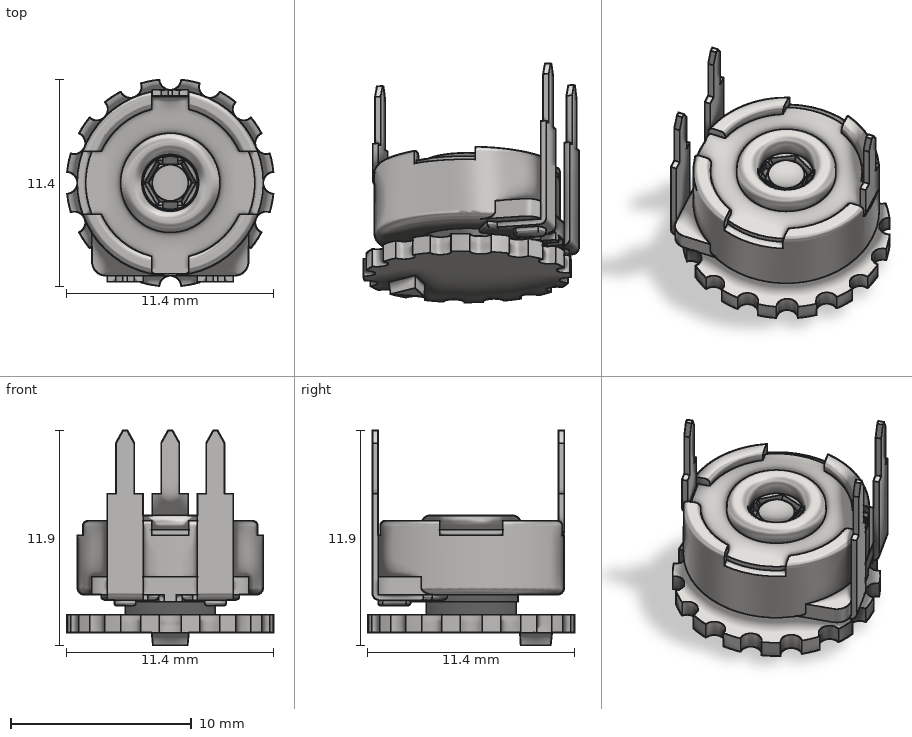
import cadquery as cq
import math


block_top = 1.0
ledge_z = 3.3
floor_z = 3.6
rim_top = 4.1
collar_top = 4.4
boss_bottom = -0.4
wheel_top = -1.1
wheel_bottom = -2.1
pointer_bottom = -2.8
rotor_shoulder = 3.2
rotor_top = 3.5
shaft_top = rotor_top
shoulder_z = 5.6
taper_z = 8.4
tip_z = 9.1

housing_radius = 10.3 / 2
rim_inner_radius = 4.2
rim_round = 0.3
bottom_round = 0.4
collar_radius = 5.5 / 2
collar_round = 0.5
collar_bore_radius = 3.15 / 2
collar_bore_round = 0.525
boss_radius = 5.2 / 2
side_notch_width = 3.5
end_notch_width = 2.06
side_ledge_radius = 4.68
end_ledge_reach = 5.03
end_ledge_round = 0.16
block_half_width = 4.34
block_corner_round = 0.8
rib_width = 0.64
rib_root_width = 1.3
rib_root_reach = 4.3
rib_root_round = 0.3

rotor_radius = 4.6 / 2
journal_radius = 3.0 / 2
hex_radius = 2.4 / 2
hex_mouth_radius = 1.44
hex_mouth_depth = 0.35
slot_depth = 0.6
slot_width = 0.83
slot_reach = 1.47
hub_radius = 5.0 / 2
wheel_radius = 5.75
wheel_notch_count = 16
wheel_notch_radius = 0.6
shaft_end_radius = 1.0
shaft_end_chamfer = 0.3
pointer_base_y = 2.69
pointer_side = 2.07
pointer_draft = 3.3

sheet = 0.33
blade_face = housing_radius + sheet
pin_pitch = 2.5
blade_width = 2.0
pin_width = 1.02
tip_width = 0.24
bend_radius = 0.4
middle_bend_radius = 0.35
pad_thickness = 0.3
pad_edge_round = 0.2
ring_inner_radius = 5.4 / 2
ring_outer_radius = 8.8 / 2
ring_start_angle = -150.5
strap_back_y = -2.65
strap_step = 0.25
rivet_size = (1.2, 1.8)
rivet_y = -4.26
rivet_depth = 0.3
rivet_end_bulge = 0.25
rivet_edge_round = 0.15
middle_foot_end = 4.77
middle_foot_top = 3.5

cut_height = 10.0


def cylinder(radius, z_low, z_high):
    return cq.Workplane("XY").workplane(offset=z_low).circle(radius).extrude(z_high - z_low)


def box(width, y_low, y_high, z_low, z_high, x_center=0.0):
    """Box of the given X width, centred on x_center."""
    blank = cq.Workplane("XY").box(width, y_high - y_low, z_high - z_low, centered=(True, False, False))
    return blank.translate((x_center, y_low, z_low))


def hexagon(radius, z_low, z_high):
    return cq.Workplane("XY").workplane(offset=z_low).polygon(6, 2 * radius).extrude(z_high - z_low)


def hex_mouth():
    """Flared lead-in at the top of the hexagonal hole."""
    return (
        cq.Workplane("XY")
        .workplane(offset=rotor_top - hex_mouth_depth)
        .polygon(6, 2 * hex_radius)
        .workplane(offset=hex_mouth_depth)
        .polygon(6, 2 * hex_mouth_radius)
        .loft(ruled=True)
    )


def housing_drum():
    """Round body with a raised rim, rounded on its lower edge and on both rim edges."""
    arc = math.sqrt(0.5)
    rim_outer_center = housing_radius - rim_round
    rim_inner_center = rim_inner_radius + rim_round
    rim_center_z = rim_top - rim_round
    bottom_center = housing_radius - bottom_round
    profile = (
        cq.Workplane("XZ")
        .moveTo(0, 0)
        .lineTo(bottom_center, 0)
        .threePointArc(
            (bottom_center + bottom_round * arc, bottom_round * (1 - arc)),
            (housing_radius, bottom_round),
        )
        .lineTo(housing_radius, rim_center_z)
        .threePointArc(
            (rim_outer_center + rim_round * arc, rim_center_z + rim_round * arc),
            (rim_outer_center, rim_top),
        )
        .lineTo(rim_inner_center, rim_top)
        .threePointArc(
            (rim_inner_center - rim_round * arc, rim_center_z + rim_round * arc),
            (rim_inner_radius, rim_center_z),
        )
        .lineTo(rim_inner_radius, floor_z)
        .lineTo(0, floor_z)
        .close()
    )
    return profile.revolve(360, (0, 0, 0), (0, 1, 0))


def rim_notches():
    """Gaps in the rim on all four sides, each with a lower ledge outside the floor."""
    side = box(4 * housing_radius, -side_notch_width / 2, side_notch_width / 2, ledge_z, cut_height)
    side = side.cut(cylinder(side_ledge_radius, ledge_z, floor_z))
    end = box(end_notch_width, -2 * housing_radius, 2 * housing_radius, ledge_z, cut_height)
    raised = box(end_notch_width, -end_ledge_reach, end_ledge_reach, ledge_z, floor_z)
    raised = raised.edges("|Z").fillet(end_ledge_round)
    core = cylinder(rim_inner_radius, ledge_z, floor_z)
    return side.cut(core), end.cut(raised).cut(core)


def collar():
    """Ring around the rotor opening, rounded on its outer top edge."""
    return cylinder(collar_radius, floor_z, collar_top).faces(">Z").edges().fillet(collar_round)


def terminal_block():
    """Block along the front that backs the two front terminals."""
    block = box(2 * block_half_width, -housing_radius, 0, 0, block_top)
    return block.edges("|Z and <Y").fillet(block_corner_round)


def underside_rib():
    """Rib from the bearing boss to the front face, wider and rounded at its root."""
    root = box(rib_root_width, -rib_root_reach, 0, boss_bottom, 0)
    root = root.edges("|Z and <Y").fillet(rib_root_round)
    return box(rib_width, -housing_radius, 0, boss_bottom, 0).union(root)


def make_housing(middle_terminal):
    body = housing_drum()
    for notch in rim_notches():
        body = body.cut(notch)
    body = body.union(terminal_block()).union(collar())
    body = body.union(cylinder(boss_radius, boss_bottom, 0)).union(underside_rib())
    body = body.cut(cylinder(collar_bore_radius, rotor_shoulder, cut_height))
    bore_edge = cq.selectors.RadiusNthSelector(0)
    body = body.faces(">Z").edges(bore_edge).fillet(collar_bore_round)
    body = body.cut(cylinder(rotor_radius, boss_bottom, rotor_shoulder))
    pocket = box(end_notch_width, middle_foot_end, 2 * housing_radius, middle_foot_top, floor_z)
    return body.cut(pocket).cut(middle_terminal)


def driver_slots():
    """Two slots running outward along Y from the hexagonal hole."""
    slot_bottom = rotor_top - slot_depth
    slots = box(slot_width, -slot_reach, slot_reach, slot_bottom, rotor_top)
    return slots.intersect(cylinder(slot_reach, slot_bottom, rotor_top))


def make_rotor():
    """Stepped rotor whose thin journal stands in the collar bore with a small gap around it."""
    body = cylinder(rotor_radius, boss_bottom, rotor_shoulder)
    body = body.union(cylinder(journal_radius, rotor_shoulder, rotor_top))
    body = body.cut(hexagon(hex_radius, boss_bottom, rotor_top)).cut(hex_mouth())
    return body.cut(driver_slots())


def shaft():
    """Hexagonal shaft with a conical end, level with the rotor face."""
    chamfer_start = shaft_top - shaft_end_chamfer
    cone = (
        cq.Workplane("XY")
        .workplane(offset=chamfer_start)
        .circle(hex_radius)
        .workplane(offset=shaft_end_chamfer)
        .circle(shaft_end_radius)
        .loft()
    )
    body = hexagon(hex_radius, boss_bottom, shaft_top)
    return body.intersect(cylinder(hex_radius, boss_bottom, chamfer_start).union(cone))


def pointer():
    """Triangular direction mark under the wheel, pointing outward along +Y."""
    corners = [
        (-pointer_side / 2, pointer_base_y),
        (pointer_side / 2, pointer_base_y),
        (0, pointer_base_y + pointer_side * math.sin(math.radians(60))),
    ]
    outline = cq.Workplane("XY").workplane(offset=wheel_bottom).polyline(corners).close()
    return outline.extrude(pointer_bottom - wheel_bottom, taper=pointer_draft)


def make_thumbwheel():
    wheel = cylinder(wheel_radius, wheel_bottom, wheel_top)
    notches = (
        cq.Workplane("XY")
        .workplane(offset=wheel_bottom)
        .polarArray(wheel_radius, 0, 360, wheel_notch_count)
        .circle(wheel_notch_radius)
        .extrude(wheel_top - wheel_bottom)
    )
    hub = cylinder(hub_radius, wheel_top, boss_bottom)
    return wheel.cut(notches).union(pointer()).union(hub).union(shaft())


def flat_blade(y_outer, z_low):
    """Flat blade of sheet metal, its outer face at y_outer, narrowing to a pointed pin."""
    right_side = [
        (blade_width / 2, z_low),
        (blade_width / 2, shoulder_z),
        (pin_width / 2, shoulder_z),
        (pin_width / 2, taper_z),
        (tip_width / 2, tip_z),
    ]
    left_side = [(-x, z) for x, z in reversed(right_side)]
    outline = cq.Workplane("XZ", origin=(0, y_outer, 0)).polyline(right_side + left_side).close()
    return outline.extrude(math.copysign(sheet, y_outer))


def polar_point(radius, angle):
    """Point at an angle in degrees from +X."""
    return (radius * math.cos(math.radians(angle)), radius * math.sin(math.radians(angle)))


def ring_pad():
    """Ring segment around the bearing boss, from a radial end to a straight end beside the rib root."""
    end_x = -rib_root_width / 2
    outer_end_angle = -math.degrees(math.acos(end_x / ring_outer_radius))
    inner_end_angle = -math.degrees(math.acos(end_x / ring_inner_radius))
    pad = (
        cq.Workplane("XY")
        .moveTo(*polar_point(ring_outer_radius, ring_start_angle))
        .threePointArc(
            polar_point(ring_outer_radius, (ring_start_angle + outer_end_angle) / 2),
            polar_point(ring_outer_radius, outer_end_angle),
        )
        .lineTo(*polar_point(ring_inner_radius, inner_end_angle))
        .threePointArc(
            polar_point(ring_inner_radius, (ring_start_angle + inner_end_angle) / 2),
            polar_point(ring_inner_radius, ring_start_angle),
        )
        .close()
        .extrude(-pad_thickness)
    )
    return pad.faces("<Z").edges().fillet(pad_edge_round)


def rivet():
    """Oblong rivet head with bulged ends."""
    width, length = rivet_size
    side = length / 2 - rivet_end_bulge
    body = (
        cq.Workplane("XY", origin=(0, rivet_y, -pad_thickness))
        .moveTo(width / 2, -side)
        .lineTo(width / 2, side)
        .threePointArc((0, length / 2), (-width / 2, side))
        .lineTo(-width / 2, -side)
        .threePointArc((0, -length / 2), (width / 2, -side))
        .close()
        .extrude(-rivet_depth)
    )
    return body.faces("<Z").edges().fillet(rivet_edge_round)


def front_terminal():
    """Left-hand front terminal: upright blade bent into a strap that carries the ring pad and rivet."""
    blade = flat_blade(-blade_face, -pad_thickness)
    strap = box(blade_width, -blade_face, strap_back_y, -pad_thickness, 0)
    bent = blade.union(strap).edges("|X and <Y and <Z").fillet(bend_radius)
    step_center = (blade_width + strap_step) / 2
    step = box(strap_step, -housing_radius, rivet_y, -pad_thickness, 0, step_center)
    body = bent.union(step).union(rivet()).translate((-pin_pitch, 0, 0))
    return body.union(ring_pad())


def make_front_terminals():
    left = front_terminal()
    return [left, left.mirror("YZ")]


def make_middle_terminal():
    foot_z = middle_foot_top - sheet
    blade = flat_blade(housing_radius, foot_z)
    foot = box(blade_width, middle_foot_end, housing_radius, foot_z, middle_foot_top)
    return blade.union(foot).edges("|X and >Y and <Z").fillet(middle_bend_radius)


middle_terminal = make_middle_terminal()
housing = make_housing(middle_terminal)
rotor = make_rotor()
thumbwheel = make_thumbwheel()
front_terminals = make_front_terminals()

result = cq.Compound.makeCompound(
    [housing.val(), rotor.val(), thumbwheel.val(), middle_terminal.val()]
    + [terminal.val() for terminal in front_terminals]
)